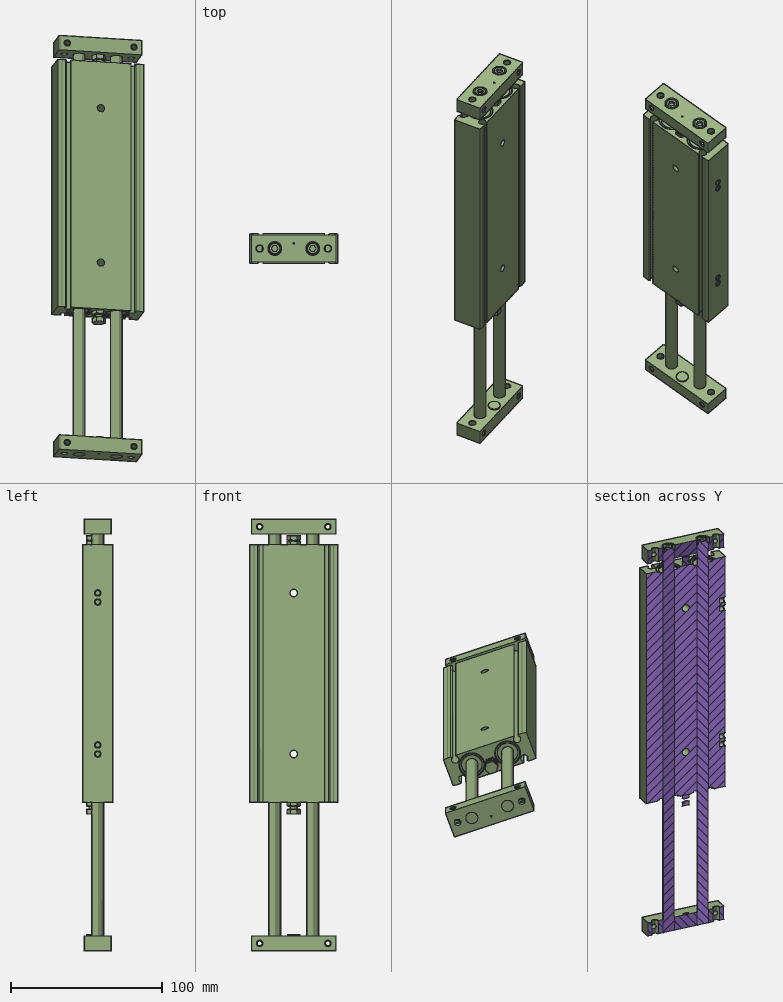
import cadquery as cq
import math

TOTAL_LENGTH = 285.0
PLATE_THICKNESS = 10.0
HOUSING_BOTTOM = 98.0
HOUSING_LENGTH = 170.1
HOUSING_TOP = HOUSING_BOTTOM + HOUSING_LENGTH
UPPER_PLATE_BOTTOM = TOTAL_LENGTH - PLATE_THICKNESS

HOUSING_WIDTH = 58.0
HOUSING_DEPTH = 20.0
CORNER_WIDTH = 2.8
CORNER_DROP = 0.3

SLOT_X = 21.7
SLOT_DIAMETER = 4.8
SLOT_CENTER_DEPTH = 2.8
SLOT_MOUTH_WIDTH = 2.5
SLOT_LIP_CHAMFER = 0.9

MOUNT_HOLE_DIAMETER = 4.8
UPPER_HOLE_Z = 236.3
LOWER_HOLE_Z = 130.0
PORT_DIAMETER = 4.3
PORT_BORE_DIAMETER = 3.0
PORT_PITCH = 6.0
PORT_DEPTH = 4.3
PORT_SINK_DEPTH = 0.5

RECESS_DIAMETER = 17.0
RECESS_FLOOR_DIAMETER = 16.0
RECESS_DEPTH = 0.5
SEAL_DIAMETER = 13.7
SEAL_DEPTH = 1.5

PLATE_WIDTH = 56.0
PLATE_DEPTH = 18.0
PLATE_CORNER_RADIUS = 0.43
PLATE_HOLE_X = 22.5
CROSS_HOLE_DIAMETER = 3.0
CROSS_SINK_DIAMETER = 4.3
END_HOLE_DIAMETER = 4.3
END_SINK_DIAMETER = 4.8

ROD_X = 12.5
ROD_DIAMETER = 8.0
HEAD_SEAT_DIAMETER = 9.0
HEAD_SEAT_DEPTH = 4.0
ROD_HEAD_DIAMETER = 6.8
SOCKET_FLATS = 3.7
SOCKET_DEPTH = 2.0

STOP_Y = 3.5
HEX_CORNERS = 9.0
HEX_CHAMFER = 0.9
STOP_HEAD_HEIGHT = 3.5
LOCK_NUT_HEIGHT = 2.5
THREAD_DIAMETER = 4.8
THREAD_ENGAGEMENT = 8.5
UPPER_STOP_REACH = 6.0
LOWER_STOP_REACH = 7.7
BUMPER_DIAMETER = 8.0
BUMPER_HEIGHT = 0.9
VENT_DIAMETER = 1.0


def cylinder_z(diameter, x, y, bottom, height):
    return cq.Workplane("XY", origin=(x, y, bottom)).circle(diameter / 2).extrude(height)


def cylinder_y(diameter, x, z, length):
    """Cylinder along Y, centred on the XZ plane."""
    return cq.Workplane("XZ", origin=(x, 0, z)).circle(diameter / 2).extrude(length / 2, both=True)


def countersink(workplane, large_diameter, small_diameter):
    """45 degree cone going into the part from a workplane that faces out of it."""
    depth = (large_diameter - small_diameter) / 2
    return workplane.circle(large_diameter / 2).workplane(offset=-depth).circle(small_diameter / 2).loft()


def mirrored(shape, plane):
    return shape.union(shape.mirror(plane))


def slot_cutter():
    """Sensor slot near the (+X, -Y) edge of the housing, running its full length."""
    face_y = -HOUSING_DEPTH / 2
    inner_x = SLOT_X - SLOT_MOUTH_WIDTH / 2
    outer_x = SLOT_X + SLOT_MOUTH_WIDTH / 2
    mouth = (
        cq.Workplane("XY", origin=(0, 0, HOUSING_BOTTOM))
        .moveTo(inner_x, face_y)
        .lineTo(outer_x + SLOT_LIP_CHAMFER, face_y)
        .lineTo(outer_x, face_y + SLOT_LIP_CHAMFER)
        .lineTo(outer_x, face_y + SLOT_CENTER_DEPTH)
        .lineTo(inner_x, face_y + SLOT_CENTER_DEPTH)
        .close()
        .extrude(HOUSING_LENGTH)
    )
    round_part = cylinder_z(SLOT_DIAMETER, SLOT_X, face_y + SLOT_CENTER_DEPTH, HOUSING_BOTTOM, HOUSING_LENGTH)
    return mouth.union(round_part)


def housing_block():
    """Plain housing bar whose front and back faces slope off gently near the sides."""
    half_width = HOUSING_WIDTH / 2
    half_depth = HOUSING_DEPTH / 2
    flat_x = half_width - CORNER_WIDTH
    edge_y = half_depth - CORNER_DROP
    return (
        cq.Workplane("XY", origin=(0, 0, HOUSING_BOTTOM))
        .polyline([
            (flat_x, -half_depth), (half_width, -edge_y),
            (half_width, edge_y), (flat_x, half_depth),
            (-flat_x, half_depth), (-half_width, edge_y),
            (-half_width, -edge_y), (-flat_x, -half_depth),
        ])
        .close()
        .extrude(HOUSING_LENGTH)
    )


def rod_recess():
    """Tapered recess in the top end, stepping down to the seal around the rod."""
    recess = (
        cq.Workplane("XY", origin=(0, 0, HOUSING_TOP))
        .circle(RECESS_DIAMETER / 2)
        .workplane(offset=-RECESS_DEPTH)
        .circle(RECESS_FLOOR_DIAMETER / 2)
        .loft()
    )
    return recess.union(cylinder_z(SEAL_DIAMETER, 0, 0, HOUSING_TOP - SEAL_DEPTH, SEAL_DEPTH))


def side_port(z):
    face = cq.Workplane("YZ", origin=(-HOUSING_WIDTH / 2, 0, z))
    bore = face.circle(PORT_BORE_DIAMETER / 2).extrude(PORT_DEPTH)
    return bore.union(face.circle(PORT_DIAMETER / 2).extrude(PORT_SINK_DEPTH))


def make_housing():
    housing = housing_block()
    slots = mirrored(mirrored(slot_cutter(), "YZ"), "XZ")
    housing = housing.cut(slots)
    for z in (UPPER_HOLE_Z, LOWER_HOLE_Z):
        housing = housing.cut(cylinder_y(MOUNT_HOLE_DIAMETER, 0, z, HOUSING_DEPTH))
    for z in (UPPER_HOLE_Z, UPPER_HOLE_Z - PORT_PITCH, LOWER_HOLE_Z + PORT_PITCH, LOWER_HOLE_Z):
        housing = housing.cut(side_port(z))
    middle = (0, 0, HOUSING_BOTTOM + HOUSING_LENGTH / 2)
    for x in (-ROD_X, ROD_X):
        recess = rod_recess().translate((x, 0, 0))
        housing = housing.cut(recess).cut(recess.mirror("XY", middle))
        housing = housing.cut(cylinder_z(ROD_DIAMETER, x, 0, HOUSING_BOTTOM, HOUSING_LENGTH))
    return housing


def make_plate():
    """End plate lying on Z = 0."""
    plate = (
        cq.Workplane("XY")
        .rect(PLATE_WIDTH, PLATE_DEPTH)
        .extrude(PLATE_THICKNESS)
        .edges("|Z")
        .fillet(PLATE_CORNER_RADIUS)
    )
    for x in (-PLATE_HOLE_X, PLATE_HOLE_X):
        front = cq.Workplane("XZ", origin=(x, -PLATE_DEPTH / 2, PLATE_THICKNESS / 2))
        top = cq.Workplane("XY", origin=(x, 0, PLATE_THICKNESS))
        plate = plate.cut(cylinder_y(CROSS_HOLE_DIAMETER, x, PLATE_THICKNESS / 2, PLATE_DEPTH))
        plate = plate.cut(mirrored(countersink(front, CROSS_SINK_DIAMETER, CROSS_HOLE_DIAMETER), "XZ"))
        plate = plate.cut(cylinder_z(END_HOLE_DIAMETER, x, 0, 0, PLATE_THICKNESS))
        plate = plate.cut(countersink(top, END_SINK_DIAMETER, END_HOLE_DIAMETER))
    for x in (-ROD_X, ROD_X):
        plate = plate.cut(cylinder_z(ROD_DIAMETER, x, 0, 0, PLATE_THICKNESS))
    return plate.cut(cylinder_z(VENT_DIAMETER, 0, STOP_Y, 0, PLATE_THICKNESS))


def make_upper_plate():
    """End plate at the top, counterbored around the rod heads."""
    plate = make_plate()
    seat_bottom = PLATE_THICKNESS - HEAD_SEAT_DEPTH
    for x in (-ROD_X, ROD_X):
        plate = plate.cut(cylinder_z(HEAD_SEAT_DIAMETER, x, 0, seat_bottom, HEAD_SEAT_DEPTH))
    return plate.translate((0, 0, UPPER_PLATE_BOTTOM))


def make_rod(x):
    """Rod through both plates and the housing, ending in its socket head."""
    seat_z = TOTAL_LENGTH - HEAD_SEAT_DEPTH
    rod = cylinder_z(ROD_DIAMETER, x, 0, 0, seat_z)
    head = cylinder_z(ROD_HEAD_DIAMETER, x, 0, seat_z, HEAD_SEAT_DEPTH)
    socket = (
        cq.Workplane("XY", origin=(x, 0, TOTAL_LENGTH))
        .polygon(6, SOCKET_FLATS / math.cos(math.pi / 6))
        .extrude(-SOCKET_DEPTH)
    )
    return rod.union(head).cut(socket)


def hexagon_with_chamfer(bottom, height, chamfered_end):
    """Hexagonal prism whose corners are turned off at one end."""
    prism = cq.Workplane("XY", origin=(0, 0, bottom)).polygon(6, HEX_CORNERS).extrude(height)
    turned = (
        cq.Workplane("XY", origin=(0, 0, bottom))
        .circle(HEX_CORNERS / 2)
        .extrude(height)
        .faces(chamfered_end)
        .chamfer(HEX_CHAMFER)
    )
    return prism.intersect(turned)


def make_stop_screw(reach):
    """Screw standing on the XY plane with its head up; the lock nut rests on the plane."""
    head_bottom = reach - STOP_HEAD_HEIGHT
    head = hexagon_with_chamfer(head_bottom, STOP_HEAD_HEIGHT, "<Z")
    nut = hexagon_with_chamfer(0, LOCK_NUT_HEIGHT, ">Z")
    shank = cylinder_z(THREAD_DIAMETER, 0, 0, -THREAD_ENGAGEMENT, THREAD_ENGAGEMENT + head_bottom)
    return head.union(nut).union(shank)


def make_bumper():
    """Flat disc on the lower plate, facing the lower stop screw."""
    return cylinder_z(BUMPER_DIAMETER, 0, STOP_Y, PLATE_THICKNESS, BUMPER_HEIGHT)


housing = make_housing()
lower_plate = make_plate()
upper_plate = make_upper_plate()
rods = [make_rod(x) for x in (-ROD_X, ROD_X)]
upper_stop = make_stop_screw(UPPER_STOP_REACH).translate((0, STOP_Y, HOUSING_TOP))
lower_stop = make_stop_screw(LOWER_STOP_REACH).mirror("XY").translate((0, STOP_Y, HOUSING_BOTTOM))
housing = housing.cut(upper_stop).cut(lower_stop)
bumper = make_bumper()

result = cq.Compound.makeCompound([
    housing.val(),
    lower_plate.val(),
    upper_plate.val(),
    *[rod.val() for rod in rods],
    upper_stop.val(),
    lower_stop.val(),
    bumper.val(),
])